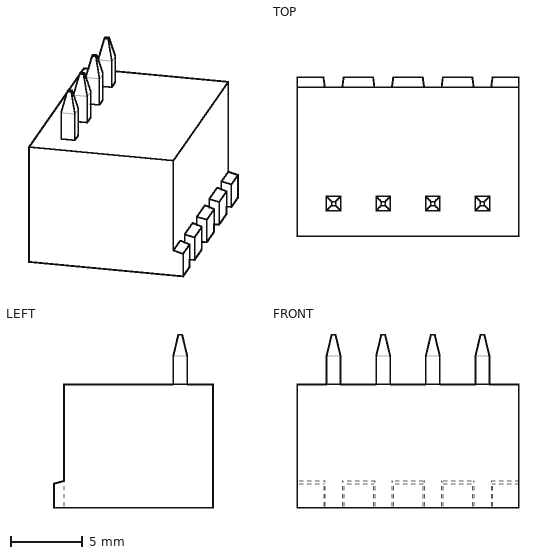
import cadquery as cq

WIDTH = 15.6
TOTAL_DEPTH = 11.2
HOUSING_HEIGHT = 8.7

LEDGE_DEPTH = 0.7
LEDGE_OUTER_HEIGHT = 1.72
LEDGE_INNER_HEIGHT = 1.9
NOTCH_INNER_WIDTH = 1.22
NOTCH_OUTER_WIDTH = 1.4

PIN_COUNT = 4
PIN_PITCH = 3.5
PIN_SIDE = 1.0
PIN_TIP_SIDE = 0.28
PIN_HEIGHT = 3.5
PIN_TAPER_HEIGHT = 1.5
PIN_SETBACK = 2.31

BACK_FACE_Y = TOTAL_DEPTH - LEDGE_DEPTH
PIN_POSITIONS_X = [(i - (PIN_COUNT - 1) / 2) * PIN_PITCH for i in range(PIN_COUNT)]


def make_ledge_notch(x):
    """Gap in the ledge, wider at the outer end, cut flush with the back face."""
    return (
        cq.Workplane("XY")
        .polyline([
            (x - NOTCH_INNER_WIDTH / 2, BACK_FACE_Y),
            (x + NOTCH_INNER_WIDTH / 2, BACK_FACE_Y),
            (x + NOTCH_OUTER_WIDTH / 2, TOTAL_DEPTH),
            (x - NOTCH_OUTER_WIDTH / 2, TOTAL_DEPTH),
        ])
        .close()
        .extrude(LEDGE_INNER_HEIGHT)
    )


def make_housing():
    """Block with a sloped ledge at the back, notched in line with each pin."""
    side_profile = [
        (0, 0),
        (TOTAL_DEPTH, 0),
        (TOTAL_DEPTH, LEDGE_OUTER_HEIGHT),
        (BACK_FACE_Y, LEDGE_INNER_HEIGHT),
        (BACK_FACE_Y, HOUSING_HEIGHT),
        (0, HOUSING_HEIGHT),
    ]
    body = cq.Workplane("YZ").polyline(side_profile).close().extrude(WIDTH / 2, both=True)
    for x in PIN_POSITIONS_X:
        body = body.cut(make_ledge_notch(x))
    return body


def make_pin(x):
    """Square pin standing on the housing, ending in a truncated pyramid."""
    shank_height = PIN_HEIGHT - PIN_TAPER_HEIGHT
    shank = (
        cq.Workplane("XY", origin=(x, PIN_SETBACK, HOUSING_HEIGHT))
        .rect(PIN_SIDE, PIN_SIDE)
        .extrude(shank_height)
    )
    tip = (
        cq.Workplane("XY", origin=(x, PIN_SETBACK, HOUSING_HEIGHT + shank_height))
        .rect(PIN_SIDE, PIN_SIDE)
        .workplane(offset=PIN_TAPER_HEIGHT)
        .rect(PIN_TIP_SIDE, PIN_TIP_SIDE)
        .loft(ruled=True)
    )
    return shank.union(tip)


housing = make_housing()
pins = [make_pin(x) for x in PIN_POSITIONS_X]

result = cq.Compound.makeCompound([housing.val(), *[pin.val() for pin in pins]])